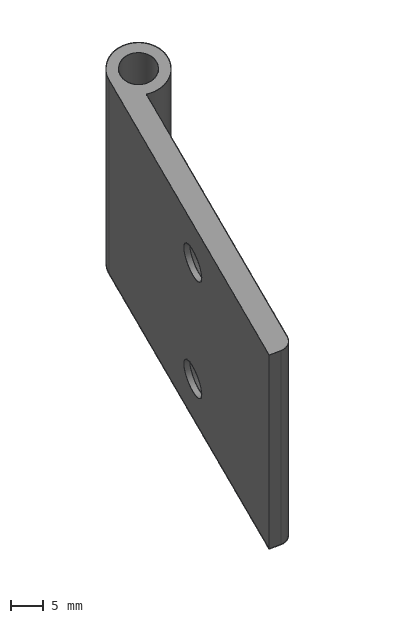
import cadquery as cq

length = 62.7
height = 50.0
knuckle_diameter = 10.0
knuckle_radius = knuckle_diameter / 2

leaf_thickness = 4.0
pin_bore_diameter = 6.1
free_edge_radius = 2.0

screw_hole_diameter = 6.4
countersink_diameter = 12.4
countersink_angle = 90
screw_hole_spacing = 30.0
screw_hole_x = 35.2

front_y = -knuckle_radius
free_edge_x = length - knuckle_radius


def make_leaf():
    """Flat plate from the knuckle axis to the free edge, rounded at its back corner."""
    leaf = cq.Workplane("XY").box(free_edge_x, leaf_thickness, height, centered=False)
    leaf = leaf.edges("|Z and >X and >Y").fillet(free_edge_radius)
    return leaf.translate((0, front_y, 0))


def make_knuckle():
    """Round barrel along the pin axis."""
    return cq.Workplane("XY").circle(knuckle_radius).extrude(height)


def make_pin_bore():
    """Through bore for the hinge pin."""
    return cq.Workplane("XY").circle(pin_bore_diameter / 2).extrude(height)


def countersink_screw_holes(body):
    """Pair of holes through the leaf, countersunk from its back face."""
    hole_x = screw_hole_x - knuckle_radius
    hole_offset = screw_hole_spacing / 2
    back_face = cq.Plane(
        origin=(hole_x, front_y + leaf_thickness, height / 2), xDir=(-1, 0, 0), normal=(0, 1, 0)
    )
    return (
        body.copyWorkplane(cq.Workplane(back_face))
        .pushPoints([(0, -hole_offset), (0, hole_offset)])
        .cskHole(screw_hole_diameter, countersink_diameter, countersink_angle, depth=leaf_thickness)
    )


hinge_body = make_knuckle().union(make_leaf()).cut(make_pin_bore())
result = countersink_screw_holes(hinge_body)